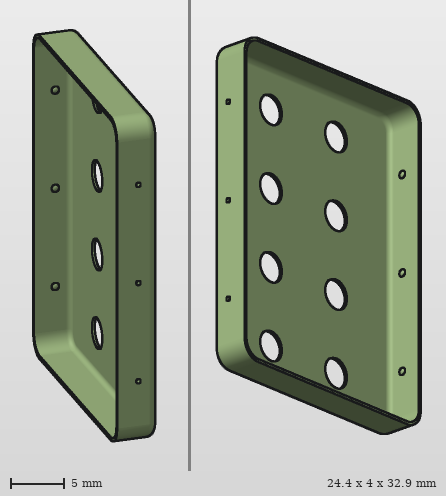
import cadquery as cq

WIDTH = 24.4
DEPTH = 4.0
HEIGHT = 32.9

WALL = 0.3
CORNER_RADIUS = 1.9
FLOOR_EDGE_RADIUS = 0.8

OPENING_DIAMETER = 3.0
OPENING_COLUMNS = 2
OPENING_ROWS = 4
OPENING_PITCH_X = 9.0
OPENING_PITCH_Z = 8.0

BUMP_RADIUS = 0.48
DIMPLE_RADIUS = 0.22
DIMPLE_COUNT = 3
DIMPLE_PITCH = 10.0
DIMPLE_FROM_MOUTH = 2.1

MOUTH_Y = -DEPTH / 2


def rounded_block(inset):
    """Block with rounded corners and floor edge, moved in from the outer skin by inset."""
    return (
        cq.Workplane("XY")
        .box(WIDTH - 2 * inset, DEPTH - inset, HEIGHT - 2 * inset)
        .translate((0, -inset / 2, 0))
        .edges("|Y")
        .fillet(CORNER_RADIUS - inset)
        .faces(">Y")
        .edges()
        .fillet(FLOOR_EDGE_RADIUS - inset)
    )


def floor_openings():
    """Grid of cylinders that pierce the floor."""
    return (
        cq.Workplane("XZ")
        .rarray(OPENING_PITCH_X, OPENING_PITCH_Z, OPENING_COLUMNS, OPENING_ROWS)
        .circle(OPENING_DIAMETER / 2)
        .extrude(DEPTH, both=True)
    )


def side_spheres(radius):
    """Rows of spheres centred on the outer faces of both side walls."""
    spheres = cq.Workplane("XY")
    for side in (-1, 1):
        for row in range(DIMPLE_COUNT):
            z = (row - (DIMPLE_COUNT - 1) / 2) * DIMPLE_PITCH
            center = (side * WIDTH / 2, MOUTH_Y + DIMPLE_FROM_MOUTH, z)
            sphere = cq.Workplane("YZ").sphere(radius).translate(center)
            spheres = spheres.add(sphere)
    return spheres.combine()


outer_block = rounded_block(0)
inner_bumps = side_spheres(BUMP_RADIUS).intersect(outer_block)

tray = outer_block.cut(rounded_block(WALL)).union(inner_bumps)
result = tray.cut(floor_openings()).cut(side_spheres(DIMPLE_RADIUS))